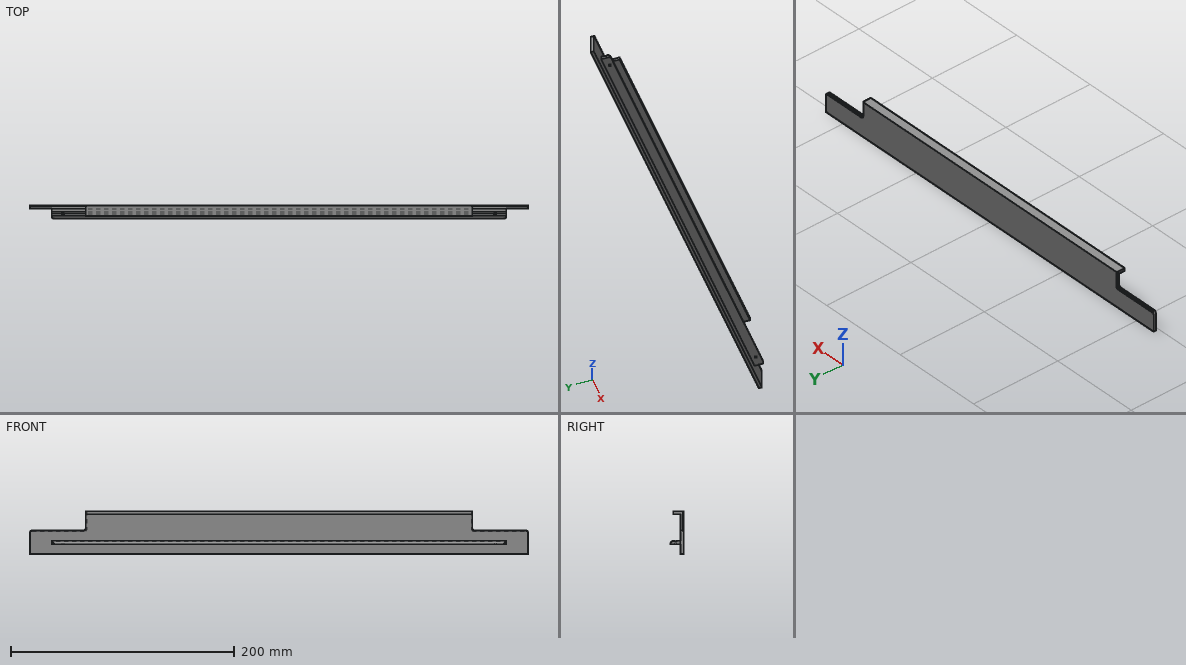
import cadquery as cq

length = 446.0
height = 38.5
thickness = 3.0
shoulder_height = 21.3
middle_length = 346.0
inner_corner_radius = 2.0
outer_corner_radius = 2.5
back_chamfer = 1.0

flange_depth = 9.6

overall_depth = 12.1
shelf_length = 407.0
shelf_bottom = 8.8
shelf_corner_radius = 2.5
shelf_top = 12.1
nose_radius = 4.0
nose_depth = 2.9
nose_bottom = 9.3

gutter_back = 5.9
gutter_low = 7.5
gutter_front = overall_depth - nose_depth
gutter_depth = 0.8

drain_diameter = 2.0
drain_from_plate_back = 7.7
drain_spacing = 387.0

tolerance = 0.1


def edges_at_shoulder(x_low, x_high, y_low):
    """Selects edges centred at the shoulder height, between two X limits and in front of the back face."""
    return cq.selectors.BoxSelector(
        (x_low, y_low, shoulder_height - tolerance),
        (x_high, tolerance, shoulder_height + tolerance),
    )


def make_plate():
    half = length / 2
    half_middle = middle_length / 2
    outline = [
        (-half, 0),
        (half, 0),
        (half, shoulder_height),
        (half_middle, shoulder_height),
        (half_middle, height),
        (-half_middle, height),
        (-half_middle, shoulder_height),
        (-half, shoulder_height),
    ]
    plate = cq.Workplane("XZ").polyline(outline).close().extrude(thickness)

    inner_corners = edges_at_shoulder(-half_middle - tolerance, half_middle + tolerance, -thickness)
    plate = plate.edges("|Y").edges(inner_corners).fillet(inner_corner_radius)

    left_shoulder = edges_at_shoulder(-half, -half_middle, -tolerance)
    right_shoulder = edges_at_shoulder(half_middle, half, -tolerance)
    plate = plate.faces(">Y").edges("|X").edges(left_shoulder + right_shoulder).chamfer(back_chamfer)

    return plate.edges("|Y").edges("<X or >X").edges(">Z").fillet(outer_corner_radius)


def make_flange():
    flange_overlap = thickness / 2
    return (
        cq.Workplane("XY")
        .box(middle_length, flange_depth - flange_overlap, thickness, centered=(True, False, False))
        .translate((0, -flange_depth, height - thickness))
    )


def make_shelf():
    root = -thickness / 2
    section = (
        cq.Workplane("YZ")
        .moveTo(root, shelf_bottom)
        .lineTo(-overall_depth, shelf_bottom)
        .lineTo(-overall_depth, nose_bottom)
        .radiusArc((-gutter_front, shelf_top), nose_radius)
        .lineTo(-gutter_low, shelf_top - gutter_depth)
        .lineTo(-gutter_back, shelf_top)
        .lineTo(root, shelf_top)
        .close()
        .extrude(shelf_length / 2, both=True)
    )
    shelf_height = shelf_top - shelf_bottom
    plan = (
        cq.Workplane("XY")
        .box(shelf_length, overall_depth + root, shelf_height, centered=(True, False, False))
        .translate((0, -overall_depth, shelf_bottom))
        .edges("|Z and <Y")
        .fillet(shelf_corner_radius)
    )
    drain_points = [(side * drain_spacing / 2, -drain_from_plate_back) for side in (-1, 1)]
    drains = (
        cq.Workplane("XY", origin=(0, 0, shelf_bottom))
        .pushPoints(drain_points)
        .circle(drain_diameter / 2)
        .extrude(shelf_height)
    )
    return section.intersect(plan).cut(drains)


result = make_plate().union(make_flange()).union(make_shelf())